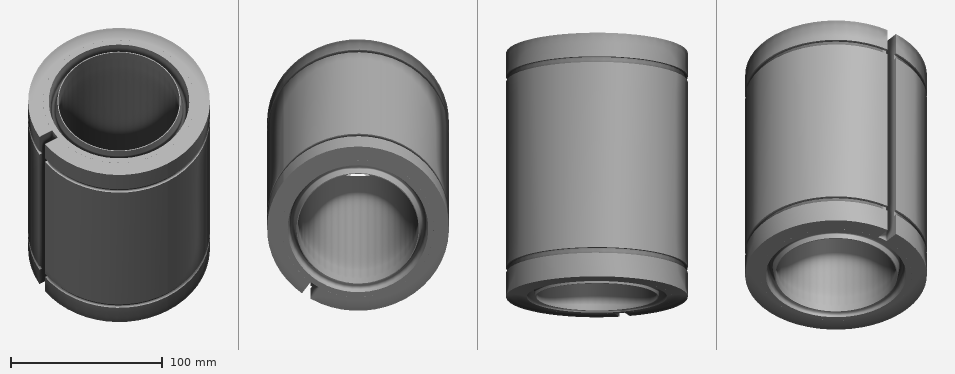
import cadquery as cq

length = 165.0
sleeve_diameter = 120.0
liner_diameter = 100.0
bore_diameter = 80.0

ring_groove_offset = 16.0
ring_groove_width = 3.8
ring_groove_depth = 2.0

slot_width = 7.0

recess_outer_radius = 46.4
recess_inner_radius = 40.6
floor_outer_radius = 44.7
floor_inner_radius = 42.0
recess_wall_depth = 8.2

half_length = length / 2


def tube(outer_diameter, inner_diameter, height):
    """Plain tube centred on the origin, along Z."""
    return (
        cq.Workplane("XY")
        .circle(outer_diameter / 2)
        .circle(inner_diameter / 2)
        .extrude(height)
        .translate((0, 0, -height / 2))
    )


def ring_groove(center_z):
    """Ring of material to remove from the outside of the sleeve."""
    groove_floor_diameter = sleeve_diameter - 2 * ring_groove_depth
    ring = tube(sleeve_diameter, groove_floor_diameter, ring_groove_width)
    return ring.translate((0, 0, center_z))


def make_sleeve():
    """Outer sleeve with two ring grooves and a full-length slot on the -Y side."""
    sleeve = tube(sleeve_diameter, liner_diameter, length)
    groove_z = half_length - ring_groove_offset - ring_groove_width / 2
    for center_z in (-groove_z, groove_z):
        sleeve = sleeve.cut(ring_groove(center_z))
    slot_reach = sleeve_diameter / 2
    slot = cq.Workplane("XY").box(slot_width, slot_reach, length).translate((0, -slot_reach / 2, 0))
    return sleeve.cut(slot)


def top_recess():
    """Ring to remove from the top end of the liner."""
    floor_edge_z = half_length - recess_wall_depth
    floor_middle_radius = (floor_outer_radius + floor_inner_radius) / 2
    floor_sag = (floor_outer_radius - floor_inner_radius) / 2
    return (
        cq.Workplane("XZ")
        .moveTo(recess_outer_radius, half_length)
        .lineTo(floor_outer_radius, floor_edge_z)
        .threePointArc(
            (floor_middle_radius, floor_edge_z - floor_sag),
            (floor_inner_radius, floor_edge_z),
        )
        .lineTo(recess_inner_radius, half_length)
        .close()
        .revolve(360, (0, 0, 0), (0, 1, 0))
    )


def make_liner():
    """Inner liner with the same recess in both ends."""
    recess = top_recess()
    liner = tube(liner_diameter, bore_diameter, length)
    return liner.cut(recess).cut(recess.mirror("XY"))


sleeve = make_sleeve()
liner = make_liner()

result = cq.Compound.makeCompound([sleeve.val(), liner.val()])